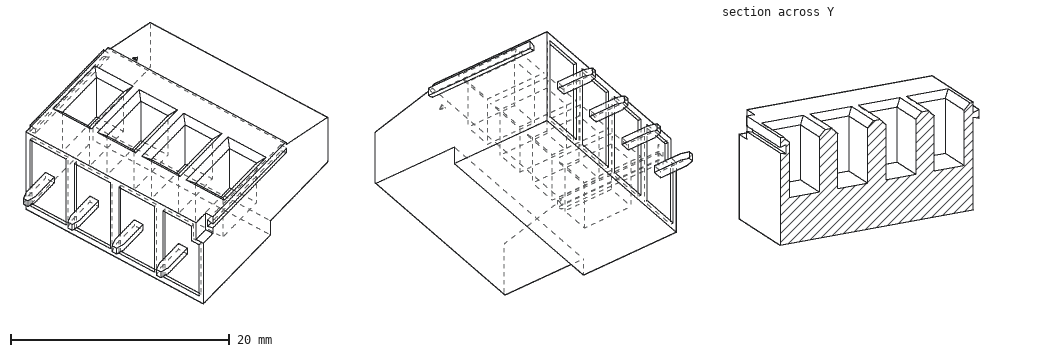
import cadquery as cq

pole_count = 4
pole_pitch = 5.002
housing_width = pole_count * pole_pitch
housing_height = 10.5
pin_length = 3.5
housing_front = pin_length
housing_back = 23.0
flange_back = housing_front + 1.5

step_y = 14.0
step_height = 1.93
shoulder_y = 16.5
shoulder_z = 10.1
back_top_z = 8.03
shoulder_radius = 0.25
back_radius = 0.2

dovetail_depth = 0.6
dovetail_wide = 0.87
dovetail_narrow = 0.53
dovetail_z = housing_height - 1.25

notch_width = 0.8
notch_height = 2.25

recess_width = 4.05
recess_margin = 0.78
recess_depth = 0.3
notch_wall = 0.5

opening_width = 4.3
opening_length = 6.53
opening_center_y = 10.53
mouth_inset = 0.62
mouth_depth = mouth_inset
well_depth = 5.98

pin_width = 1.0
pin_thickness = 0.78
pin_tip_width = 0.5
pin_tip_length = 0.8
pin_z = 5.64

mark_width = 0.5
mark_length = 0.45
mark_front_y = 17.07
mark_depth = 0.1

pole_centers = [(pole + 0.5) * pole_pitch for pole in range(pole_count)]


def corner_box(x, y, z, width, length, height):
    """Box given by its lowest corner and its sizes along X, Y and Z."""
    return cq.Workplane("XY").box(width, length, height, centered=False).translate((x, y, z))


def make_housing():
    """Side profile extruded across the width, with its rounded edges."""
    profile = [
        (housing_front, 0),
        (step_y, 0),
        (step_y, step_height),
        (housing_back, step_height),
        (housing_back, back_top_z),
        (shoulder_y, shoulder_z),
        (shoulder_y, housing_height),
        (housing_front, housing_height),
    ]
    housing = cq.Workplane("YZ").polyline(profile).close().extrude(housing_width)
    housing = housing.faces(">Y").edges("|X").fillet(back_radius)
    return housing.faces(">Z").edges("|X and >Y").fillet(shoulder_radius)


def make_dovetail(wall_x, start_y):
    """Dovetail bar ending at the shoulder, wide on wall_x and narrowing toward +X."""
    profile = [
        (wall_x, dovetail_z - dovetail_wide / 2),
        (wall_x + dovetail_depth, dovetail_z - dovetail_narrow / 2),
        (wall_x + dovetail_depth, dovetail_z + dovetail_narrow / 2),
        (wall_x, dovetail_z + dovetail_wide / 2),
    ]
    bar = cq.Workplane("XZ").polyline(profile).close().extrude(start_y - shoulder_y)
    return bar.translate((0, start_y, 0))


def make_corner_notch(width, height, length):
    """Block filling the upper right front corner of the housing."""
    x = housing_width - width
    z = housing_height - height
    return corner_box(x, housing_front, z, width, length, height)


def make_recess(center_x):
    """Front recess of one pole."""
    height = housing_height - 2 * recess_margin
    x = center_x - recess_width / 2
    return corner_box(x, housing_front, recess_margin, recess_width, recess_depth, height)


def make_opening(center_x):
    """Wire opening of one pole."""
    well_width = opening_width - 2 * mouth_inset
    well_length = opening_length - 2 * mouth_inset
    mouth = (
        cq.Workplane("XY", origin=(center_x, opening_center_y, housing_height))
        .rect(opening_width, opening_length)
        .workplane(offset=-mouth_depth)
        .rect(well_width, well_length)
        .loft(ruled=True)
    )
    well = corner_box(
        center_x - well_width / 2,
        opening_center_y - well_length / 2,
        housing_height - well_depth,
        well_width,
        well_length,
        well_depth - mouth_depth,
    )
    return mouth.union(well)


def make_pin(center_x):
    """Flat pin with a tapered tip, rooted in the floor of its recess."""
    root_y = housing_front + recess_depth
    profile = [
        (-pin_tip_width / 2, 0),
        (pin_tip_width / 2, 0),
        (pin_width / 2, pin_tip_length),
        (pin_width / 2, root_y),
        (-pin_width / 2, root_y),
        (-pin_width / 2, pin_tip_length),
    ]
    pin = cq.Workplane("XY").polyline(profile).close().extrude(pin_thickness)
    return pin.translate((center_x, 0, pin_z - pin_thickness / 2))


def make_mark(center_x):
    """Triangular prism sunk square to the sloping roof."""
    roof_run = housing_back - shoulder_y
    roof_drop = shoulder_z - back_top_z
    front_z = shoulder_z - roof_drop * (mark_front_y - shoulder_y) / roof_run
    roof_plane = cq.Plane(
        origin=(center_x, mark_front_y, front_z),
        xDir=(1, 0, 0),
        normal=(0, roof_drop, roof_run),
    )
    triangle = [(-mark_width / 2, 0), (mark_width / 2, 0), (0, mark_length)]
    return cq.Workplane(roof_plane).polyline(triangle).close().extrude(-mark_depth)


result = make_housing()

result = result.union(make_dovetail(-dovetail_depth, flange_back))
result = result.cut(make_dovetail(housing_width - dovetail_depth, housing_front))
result = result.cut(make_corner_notch(notch_width, notch_height, flange_back - housing_front))

recesses = make_recess(pole_centers[0])
for center_x in pole_centers[1:]:
    recesses = recesses.union(make_recess(center_x))
recesses = recesses.cut(
    make_corner_notch(notch_width + notch_wall, notch_height + notch_wall, recess_depth)
)
result = result.cut(recesses)

for center_x in pole_centers:
    result = result.cut(make_opening(center_x))
    result = result.union(make_pin(center_x))

result = result.cut(make_mark(pole_centers[0]))